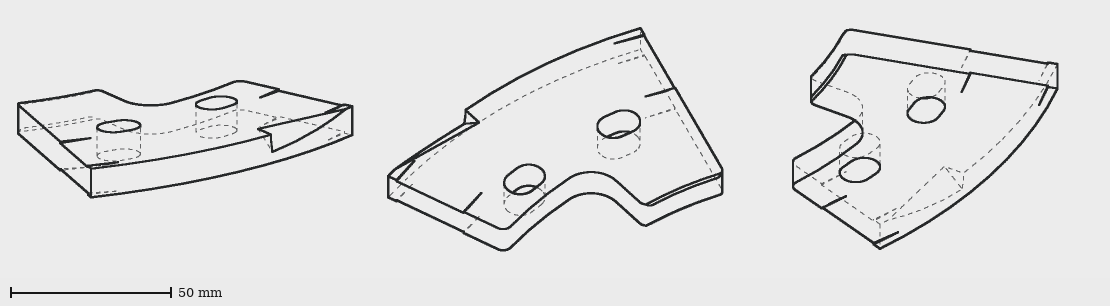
import cadquery as cq
import math

outer_radius = 174.9
sector_height = 97.6
thickness = 9.5
sector_angle = math.degrees(math.asin(sector_height / outer_radius))

deep_inner_radius = 105.8
shallow_inner_radius = 130.9
step_angle = 15.7
step_fillet = 10.0
corner_fillet = 2.9
inner_chamfer = 0.8

slot_radius = 140.5
slot_width = 10.1
slot_inner_angle = 7.0
slot_outer_angle = 8.6

recess_length = 25.2
recess_width = 10.1
recess_depth = 0.5
recess_margin = 3.1

relief_corner_x = 156.0
relief_corner_y = 62.4
relief_direction = 105.5
relief_slope = 40.0
relief_wall_draft = 8.3
relief_wall_turn = 2.5
relief_length = 48.8
relief_width = 19.5


def polar(radius, angle):
    """Point at a radius and an angle in degrees."""
    return (radius * math.cos(math.radians(angle)), radius * math.sin(math.radians(angle)))


def make_plate():
    plate = (
        cq.Workplane("XY")
        .moveTo(*polar(deep_inner_radius, 0))
        .lineTo(*polar(outer_radius, 0))
        .threePointArc(polar(outer_radius, sector_angle / 2), polar(outer_radius, sector_angle))
        .lineTo(*polar(shallow_inner_radius, sector_angle))
        .threePointArc(
            polar(shallow_inner_radius, (sector_angle + step_angle) / 2),
            polar(shallow_inner_radius, step_angle),
        )
        .lineTo(*polar(deep_inner_radius, step_angle))
        .threePointArc(polar(deep_inner_radius, step_angle / 2), polar(deep_inner_radius, 0))
        .close()
        .extrude(thickness)
    )
    fillets = (
        (deep_inner_radius, 0, corner_fillet),
        (deep_inner_radius, step_angle, corner_fillet),
        (shallow_inner_radius, sector_angle, corner_fillet),
        (shallow_inner_radius, step_angle, step_fillet),
    )
    for radius, angle, fillet_radius in fillets:
        corner = (*polar(radius, angle), thickness / 2)
        plate = plate.edges(cq.selectors.NearestToPointSelector(corner)).fillet(fillet_radius)
    return plate


def make_slot(start_angle, end_angle):
    half_width = slot_width / 2
    inner = slot_radius - half_width
    outer = slot_radius + half_width
    middle_angle = (start_angle + end_angle) / 2
    slot = (
        cq.Workplane("XY")
        .moveTo(*polar(inner, start_angle))
        .threePointArc(polar(inner, middle_angle), polar(inner, end_angle))
        .lineTo(*polar(outer, end_angle))
        .threePointArc(polar(outer, middle_angle), polar(outer, start_angle))
        .close()
        .extrude(thickness)
    )
    for angle in (start_angle, end_angle):
        end = cq.Workplane("XY").center(*polar(slot_radius, angle)).circle(half_width)
        slot = slot.union(end.extrude(thickness))
    return slot


def make_recesses():
    """Wedges at the end on +X, deepest at the end face, and their mirror images at the other end."""
    start_x = outer_radius - recess_margin - recess_length
    bottom = (
        cq.Workplane("YZ", origin=(start_x, 0, 0))
        .polyline([(0, 0), (recess_width, 0), (0, recess_depth)])
        .close()
        .extrude(recess_length)
    )
    first_end = bottom.union(bottom.mirror("XY").translate((0, 0, thickness)))
    other_end = first_end.mirror("XZ").rotate((0, 0, 0), (0, 0, 1), sector_angle)
    return first_end.union(other_end)


def make_inner_chamfers():
    """Conical cutters for the top and bottom edges of the deep lobe."""
    radius = deep_inner_radius
    bottom = (
        cq.Workplane("XZ")
        .polyline([(radius, 0), (radius + inner_chamfer, 0), (radius, inner_chamfer)])
        .close()
        .revolve(360, (0, 0, 0), (0, 1, 0))
    )
    return bottom.union(bottom.mirror("XY").translate((0, 0, thickness)))


def make_relief():
    """Cutter whose floor falls from the hinge line toward the outer edge, with a drafted end wall."""
    box = cq.Workplane("XY").box(
        relief_length, relief_width, 2 * relief_width, centered=(True, False, True)
    )
    above_floor = (
        cq.Workplane("XY")
        .box(2 * relief_length, 2 * relief_width, relief_width, centered=(True, True, False))
        .rotate((0, 0, 0), (1, 0, 0), relief_slope)
    )
    beyond_end_wall = (
        cq.Workplane("XY")
        .box(relief_length, 4 * relief_width, 4 * relief_width, centered=(False, True, True))
        .rotate((0, 0, 0), (0, 1, 0), -relief_wall_draft)
        .rotate((0, 0, 0), (0, 0, 1), -relief_wall_turn)
    )
    return (
        box.translate((relief_length / 2, -relief_width, 0))
        .intersect(above_floor)
        .intersect(beyond_end_wall)
        .rotate((0, 0, 0), (0, 0, 1), relief_direction)
        .translate((relief_corner_x, relief_corner_y, thickness))
    )


result = make_plate()
for direction in (-1, 1):
    angles = sorted(
        sector_angle / 2 + direction * angle for angle in (slot_inner_angle, slot_outer_angle)
    )
    result = result.cut(make_slot(*angles))
result = result.cut(make_inner_chamfers()).cut(make_recesses()).cut(make_relief())